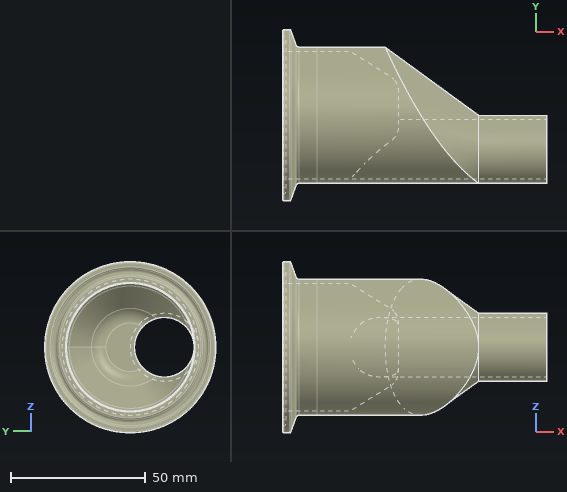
import cadquery as cq
import math

total_length = 98.4
outlet_length = 25.4
outlet_start = total_length - outlet_length
ferrule_length = 12.7

body_radius = 25.4
bore_radius = 47.5 / 2
outlet_radius = 12.7
outlet_bore_radius = 22.1 / 2
outlet_offset = outlet_radius - body_radius

slant_start = 38.2
slant_radius = body_radius - outlet_offset
slant_slope = (slant_radius - outlet_radius) / (outlet_start - slant_start)

flange_radius = 63.9 / 2
flange_rim_width = 3.0
flange_back_angle = math.radians(20)
rim_round = 0.5
neck_round = 1.2
mouth_round = 0.4

groove_center_radius = 28.1
groove_half_width = 1.8
groove_bottom_radius = 1.2
groove_lip_radius = 0.7

taper_start = 23.4
taper_angle = math.radians(32)
taper_round = 6.4
floor_flat_radius = 9.1


def x_cylinder(radius, start, end, y=0):
    """Solid cylinder parallel to X between two X positions."""
    return cq.Workplane("YZ", origin=(start, y, 0)).circle(radius).extrude(end - start)


def spin(profile, y=0):
    """Revolve an (x, radius) profile about the line parallel to X at the given Y."""
    return profile.revolve(360, (0, 0, 0), (1, 0, 0)).translate((0, y, 0))


def circles_between(solid, start, end):
    """Circular edges of a turned solid centred between two X positions."""
    margin = 0.1
    box = cq.selectors.BoxSelector((start - margin, -margin, -margin), (end + margin, margin, margin))
    return solid.edges("%CIRCLE").edges(box)


def ferrule():
    """Clamp flange with a sloped back, followed by a short straight neck."""
    back_end = flange_rim_width + (flange_radius - body_radius) * math.tan(flange_back_angle)
    blank = spin(
        cq.Workplane("XY")
        .lineTo(0, flange_radius)
        .lineTo(flange_rim_width, flange_radius)
        .lineTo(back_end, body_radius)
        .lineTo(ferrule_length, body_radius)
        .lineTo(ferrule_length, 0)
        .close()
    )
    rounded = circles_between(blank, 0, flange_rim_width).fillet(rim_round)
    return circles_between(rounded, back_end, back_end).fillet(neck_round)


def reducer_body():
    """Large pipe trimmed by the slanted cone around the outlet axis."""
    cone = spin(
        cq.Workplane("XY")
        .lineTo(0, outlet_radius + slant_slope * outlet_start)
        .lineTo(outlet_start, outlet_radius)
        .lineTo(outlet_start, 0)
        .close(),
        outlet_offset,
    )
    return x_cylinder(body_radius, ferrule_length, outlet_start).intersect(cone)


def gasket_groove():
    """Ring-shaped cutter with a round bottom blending into convex lips."""
    sweep = math.asin(groove_half_width / (groove_bottom_radius + groove_lip_radius))
    depth = (groove_bottom_radius + groove_lip_radius) * (1 - math.cos(sweep))
    join_x = groove_lip_radius * (1 - math.cos(sweep))
    join_offset = groove_bottom_radius * math.sin(sweep)
    lip_mid_x = groove_lip_radius * (1 - math.cos(sweep / 2))
    lip_mid_offset = groove_half_width - groove_lip_radius * math.sin(sweep / 2)
    middle = groove_center_radius
    return spin(
        cq.Workplane("XY")
        .moveTo(0, middle - groove_half_width)
        .threePointArc((lip_mid_x, middle - lip_mid_offset), (join_x, middle - join_offset))
        .threePointArc((depth, middle), (join_x, middle + join_offset))
        .threePointArc((lip_mid_x, middle + lip_mid_offset), (0, middle + groove_half_width))
        .close()
    )


def main_cavity():
    """Large bore, rounded into a taper that ends in a rounded flat floor."""
    shoulder_x = taper_start + taper_round * math.sin(taper_angle)
    shoulder_radius = bore_radius - taper_round * (1 - math.cos(taper_angle))
    taper_end_radius = floor_flat_radius + taper_round * math.cos(taper_angle)
    taper_end_x = shoulder_x + (shoulder_radius - taper_end_radius) / math.tan(taper_angle)
    floor_x = taper_end_x + taper_round * (1 - math.sin(taper_angle))
    mouth_radius = bore_radius + mouth_round
    return spin(
        cq.Workplane("XY")
        .lineTo(0, mouth_radius)
        .radiusArc((mouth_round, bore_radius), mouth_round)
        .lineTo(taper_start, bore_radius)
        .tangentArcPoint((shoulder_x, shoulder_radius), relative=False)
        .lineTo(taper_end_x, taper_end_radius)
        .tangentArcPoint((floor_x, floor_flat_radius), relative=False)
        .lineTo(floor_x, 0)
        .close()
    )


outlet = x_cylinder(outlet_radius, outlet_start, total_length, outlet_offset)
outlet_bore = x_cylinder(outlet_bore_radius, taper_start, total_length, outlet_offset)

result = (
    ferrule()
    .union(reducer_body())
    .union(outlet)
    .cut(gasket_groove())
    .cut(main_cavity())
    .cut(outlet_bore)
)